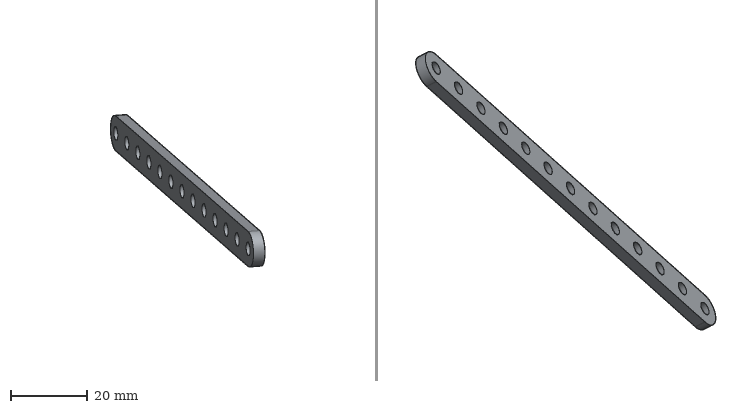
import cadquery as cq

bar_height = 9.525
bar_thickness = 3.175
hole_count = 13
hole_pitch = 9.779
hole_diameter = 3.556

end_hole_distance = (hole_count - 1) * hole_pitch
bar_length = end_hole_distance + bar_height


def make_bar():
    """Solid bar centred on the origin, its thickness along Y."""
    return (
        cq.Workplane("XZ")
        .slot2D(bar_length, bar_height)
        .extrude(bar_thickness / 2, both=True)
    )


def make_hole_row():
    """Cylinders for one row of evenly spaced through holes along X."""
    return (
        cq.Workplane("XZ")
        .rarray(hole_pitch, bar_height, hole_count, 1)
        .circle(hole_diameter / 2)
        .extrude(bar_thickness, both=True)
    )


result = make_bar().cut(make_hole_row())